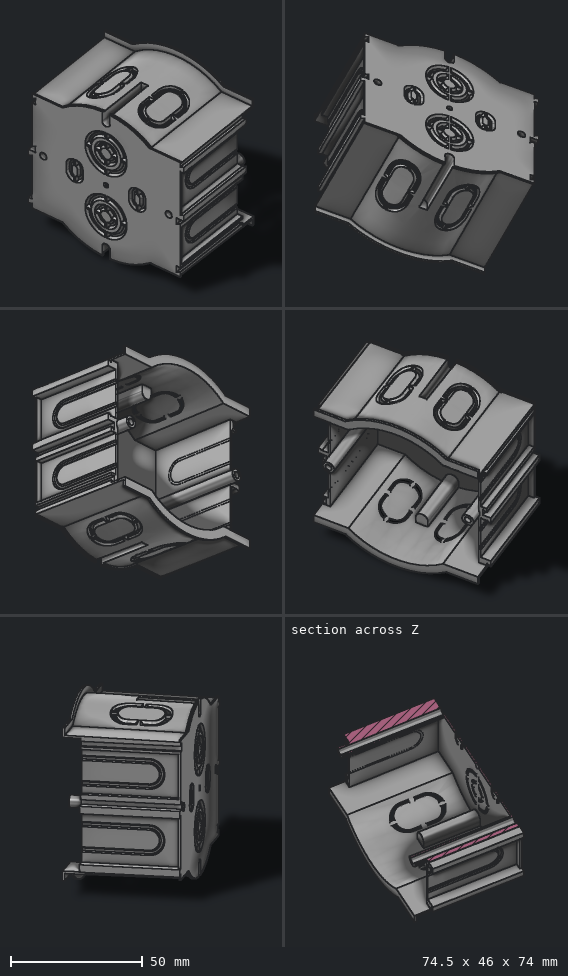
import cadquery as cq
import math

depth = 46.0
height = 74.0
half_width = 35.45
wall = 1.0
draft = 0.6

body_radius = 33.6
body_flat = 26.6
flange_radius = height / 2
flange_flat = 29.95
rim_radius = 34.65
rim_thickness = 1.1
rim_chamfer = 0.3
lip_flat = 27.35
lip_thickness = 0.6

panel_face = 32.9
panel_depth = 39.0
panel_thickness = wall
hook_reach = 1.8
groove_reach = 1.7
hook_mouth = 2.15
hook_tip = 2.9
rail_spacing = 22.9
outer_groove_lip = 1.05
middle_groove_lip = 1.3

u_groove_radius = 5.95
u_groove_width = 2.0
u_groove_depth = 0.5
u_groove_center_y = 12.75
u_groove_z = 13.0

ring_width = 2.9
bridge_width = 0.7
grid = 15.0
round_radius = 10.0
round_inner_radius = 5.45
oval_radius = 4.1
oval_straight = 2.6
wall_knockout_radius = 7.15
wall_knockout_straight = 9.6
wall_knockout_x = 12.5
wall_knockout_y = 20.0
wall_knockout_sink = 0.3
wall_knockout_slope = 1.05

channel_width = 3.8
channel_floor = 28.0
channel_length = 24.1

tube_x = 30.0
tube_diameter = 5.0
tube_length = 44.0
tube_hole_diameter = 3.1
tube_hole_draft = 0.3
center_hole_diameter = 2.15

clearance = 3.7


def front_plane(y):
    """Sketch plane at depth y: local x is -X, local y is +Z, extrusion runs to +Y."""
    return cq.Workplane(cq.Plane((0, y, 0), xDir=(-1, 0, 0), normal=(0, 1, 0)))


def block(x_range, y_range, z_range):
    """Box between the given limits along each axis."""
    size = [b - a for a, b in (x_range, y_range, z_range)]
    corner = (x_range[0], y_range[0], z_range[0])
    return cq.Workplane("XY").box(*size, centered=False).translate(corner)


def half_turn(shape):
    """Copy of a shape turned half a revolution about the Y axis."""
    return shape.rotate((0, 0, 0), (0, 1, 0), 180)


def outline(y, radius, flat, half_span):
    """Flat-sided outline with a bulging arc at the top and the bottom."""
    corner = math.sqrt(radius**2 - flat**2)
    return (
        front_plane(y)
        .moveTo(-half_span, -flat)
        .lineTo(-corner, -flat)
        .threePointArc((0, -radius), (corner, -flat))
        .lineTo(half_span, -flat)
        .lineTo(half_span, flat)
        .lineTo(corner, flat)
        .threePointArc((0, radius), (-corner, flat))
        .lineTo(-half_span, flat)
        .close()
    )


def make_outside():
    """Solid drafted body with the front lip, the curved rims and the back flange."""
    body = outline(0, body_radius, body_flat, half_width).extrude(depth, taper=-draft)
    body = body.intersect(block((-half_width, half_width), (0, depth), (-flange_radius, flange_radius)))
    lip = block((-half_width, half_width), (0, lip_thickness), (-lip_flat, lip_flat))
    rim_half_span = math.sqrt(rim_radius**2 - lip_flat**2)
    rim = front_plane(0).circle(rim_radius).extrude(rim_thickness).edges().chamfer(rim_chamfer)
    rim = rim.intersect(
        block((-rim_half_span, rim_half_span), (0, rim_thickness), (-rim_radius, rim_radius))
    )
    flange = outline(depth - wall, flange_radius, flange_flat, half_width).extrude(wall)
    return body.union(lip).union(rim).union(flange)


def make_cavity():
    """Inside of the box and both side recesses, leaving the side panels standing."""
    cavity = outline(0, body_radius - wall, body_flat - wall, half_width + clearance)
    cavity = cavity.extrude(depth + clearance, taper=-draft)
    cavity = cavity.cut(
        block((-2 * half_width, 2 * half_width), (-clearance, wall), (-flange_radius, flange_radius))
    )
    panel = block(
        (-panel_face, panel_thickness - panel_face), (0, panel_depth), (-flange_radius, flange_radius)
    )
    return cavity.cut(panel).cut(half_turn(panel))


def dovetail(root_x, tip_x, base_z, direction):
    """Dovetail prism along Y: square on one side, undercut on the other."""
    points = [
        (-root_x, base_z),
        (-tip_x, base_z),
        (-tip_x, base_z + direction * hook_tip),
        (-root_x, base_z + direction * hook_mouth),
    ]
    return front_plane(0).polyline(points).close().extrude(panel_depth)


def add_rails(body):
    """Two grooves and two hooks on the left side; the right side is the same half a turn round."""
    inner_x = panel_thickness - panel_face
    rail_y = (0, panel_depth)
    supports = [
        (rail_spacing - outer_groove_lip, body_flat - wall / 2),
        (-hook_mouth, hook_tip + middle_groove_lip),
        (wall / 2 - body_flat, -rail_spacing),
    ]
    for z_range in supports:
        support = block((-half_width, inner_x), rail_y, z_range)
        body = body.union(support).union(half_turn(support))
    for base_z in (0, -rail_spacing):
        hook = dovetail(-half_width, -half_width - hook_reach, base_z, -1)
        body = body.union(hook).union(half_turn(hook))
    for base_z in (0, rail_spacing):
        groove = dovetail(-half_width, groove_reach - half_width, base_z, 1)
        body = body.cut(groove).cut(half_turn(groove))
    return body


def rounded(radius, straight, z):
    """Circle or slot sketched at height z, the long way on local X."""
    sketch = cq.Workplane("XY").workplane(offset=z)
    if straight == 0:
        return sketch.circle(radius)
    return sketch.slot2D(straight + 2 * radius, 2 * radius)


def flared(radius, straight, slope_depth, direction):
    """Slot-shaped plug whose side moves inwards (1) or outwards (-1) at 45 degrees."""
    end_radius = radius - direction * slope_depth
    plug = rounded(radius, straight, -clearance).extrude(clearance)
    plug = plug.union(rounded(radius, straight, 0).extrude(slope_depth, taper=45 * direction))
    return plug.union(rounded(end_radius, straight, slope_depth).extrude(clearance))


def ring_cutter(radius, width, straight, slope_depth):
    """Ring-shaped slot around the local origin, narrowing along +Z, long way on local X."""
    outer = flared(radius, straight, slope_depth, 1)
    return outer.cut(flared(radius - width, straight, slope_depth, -1))


def bridge(length, slope_depth):
    """Bar along local X that widens at 45 degrees on each side down to the slope depth."""
    narrow = bridge_width / 2
    wide = narrow + slope_depth
    points = [
        (-narrow, -clearance),
        (narrow, -clearance),
        (narrow, 0),
        (wide, slope_depth),
        (wide, slope_depth + clearance),
        (-wide, slope_depth + clearance),
        (-wide, slope_depth),
        (-narrow, 0),
    ]
    return cq.Workplane("YZ").polyline(points).close().extrude(length, both=True)


def knockout_cutter(radius, straight, bridge_angles, slope_depth=wall):
    cutter = ring_cutter(radius, ring_width, straight, slope_depth)
    for angle in bridge_angles:
        bar = bridge(radius + straight, slope_depth).rotate((0, 0, 0), (0, 0, 1), angle)
        cutter = cutter.cut(bar)
    return cutter


def place(shape, origin, x_dir, normal):
    """Move a cutter so that its local X and Z axes follow the given directions."""
    return cq.Workplane(shape.val().moved(cq.Location(cq.Plane(origin, x_dir, normal))))


def cut_plate_knockouts(body):
    for radius in (round_radius, round_inner_radius):
        cutter = knockout_cutter(radius, 0, (0, 90))
        for z in (-grid, grid):
            body = body.cut(place(cutter, (0, 0, z), (0, 0, 1), (0, 1, 0)))
    oval = knockout_cutter(oval_radius, oval_straight, (0,))
    for x in (-grid, grid):
        body = body.cut(place(oval, (x, 0, 0), (0, 0, 1), (0, 1, 0)))
    return body


def cut_wall_knockouts(body):
    """Long knockouts square to the curved top and bottom walls."""
    cutter = knockout_cutter(wall_knockout_radius, wall_knockout_straight, (0, 90), wall_knockout_slope)
    draft_sin = math.sin(math.radians(draft))
    draft_cos = math.cos(math.radians(draft))
    mid_radius = body_radius + wall_knockout_y * math.tan(math.radians(draft))
    lean = math.asin(wall_knockout_x / mid_radius)
    start_radius = mid_radius - wall_knockout_sink
    for side in (-1, 1):
        for up in (-1, 1):
            outward = (side * math.sin(lean), 0, up * math.cos(lean))
            origin = (outward[0] * start_radius, wall_knockout_y, outward[2] * start_radius)
            long_way = (outward[0] * draft_sin, draft_cos, outward[2] * draft_sin)
            inward = (-outward[0] * draft_cos, draft_sin, -outward[2] * draft_cos)
            body = body.cut(place(cutter, origin, long_way, inward))
    return body


def cut_u_grooves(body):
    """Grooves that run from the open back and turn round near the front plate."""
    straight = depth
    cutter = ring_cutter(u_groove_radius, u_groove_width, straight, u_groove_depth)
    floor = block((-depth, depth), (-depth, depth), (u_groove_depth, 2 * clearance))
    cutter = cutter.cut(floor)
    center_y = u_groove_center_y + straight / 2
    for side in (-1, 1):
        for z in (-u_groove_z, u_groove_z):
            groove = place(cutter, (side * panel_face, center_y, z), (0, 1, 0), (-side, 0, 0))
            recess = block(
                sorted((side * (panel_face - panel_thickness), side * panel_face)),
                (0, panel_depth),
                (z - 2 * u_groove_radius, z + 2 * u_groove_radius),
            )
            body = body.cut(groove.intersect(recess))
    return body


def channel(grow, top):
    """Round-bottomed trough along Y, enlarged by grow on its sides, floor and end."""
    radius = channel_width / 2 + grow
    center_z = channel_floor + channel_width / 2
    return (
        front_plane(0)
        .moveTo(-radius, top)
        .lineTo(-radius, center_z)
        .threePointArc((0, center_z - radius), (radius, center_z))
        .lineTo(radius, top)
        .close()
        .extrude(channel_length + grow, taper=draft)
    )


def add_channels(body):
    housing = channel(wall, body_radius - wall / 4)
    trough = channel(0, flange_radius)
    body = body.union(housing).union(half_turn(housing))
    return body.cut(trough).cut(half_turn(trough))


def add_tubes_and_holes(body):
    for x in (-tube_x, tube_x):
        tube = front_plane(0).center(-x, 0).circle(tube_diameter / 2).extrude(tube_length)
        hole = front_plane(0).center(-x, 0).circle(tube_hole_diameter / 2)
        body = body.union(tube).cut(hole.extrude(tube_length, taper=tube_hole_draft))
    center_hole = front_plane(0).circle(center_hole_diameter / 2).extrude(wall)
    return body.cut(center_hole)


result = make_outside().cut(make_cavity())
result = add_rails(result)
result = add_channels(result)
result = add_tubes_and_holes(result)
result = cut_plate_knockouts(result)
result = cut_wall_knockouts(result)
result = cut_u_grooves(result)